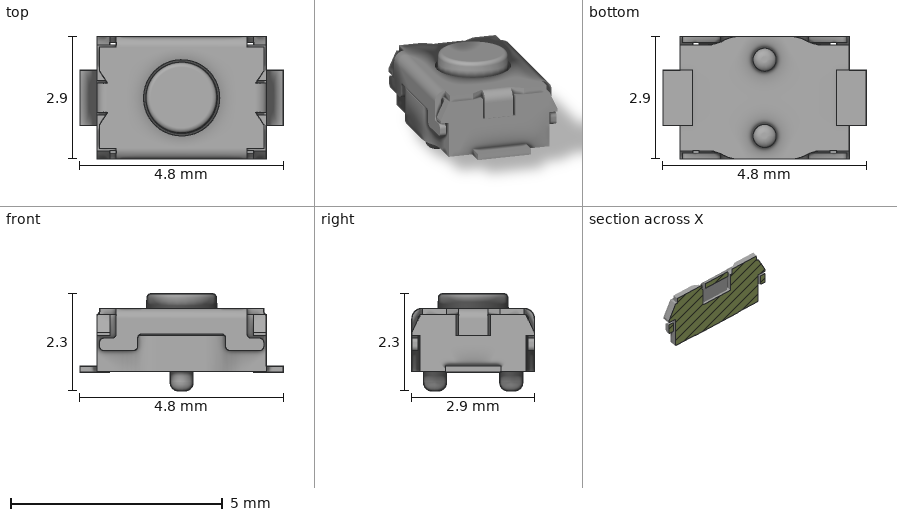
import cadquery as cq

overall_length = 4.8
overall_width = 2.9
side_y = overall_width / 2

body_length = 4.0
body_end_x = body_length / 2
core_width = 2.5
core_y = core_width / 2
body_top = 1.35
corner_block_length = 0.3
corner_block_bottom = 0.85
corner_slope_bottom = 0.92

bulge_half_foot = 1.375
bulge_half_crest = 0.595
bulge_top = 0.85
bulge_link_run = 0.03
bulge_link_rise = 0.015

pocket_width = 0.81
pocket_depth = 0.215
pocket_floor = 0.85

sheet = 0.15
cover_top = body_top + sheet
bend_radius = 0.25
cover_length = 3.88
cover_end_x = cover_length / 2
plate_y = side_y - bend_radius
cover_hole_diameter = 1.8

flange_half_length = 1.545
flange_bottom = 0.5
foot_top = 0.79
flange_cutout_half_length = 1.035
flange_cutout_top = 0.895
flange_corner_radius = 0.1

tab_width = 0.69
tab_bottom = 0.86
tab_bend_x = body_end_x - bend_radius
notch_half_width = 0.635

button_top = 1.845
button_base_radius = 0.845
button_top_radius = 0.815
button_fillet = 0.1

peg_diameter = 0.545
peg_spacing = 1.8
peg_length = 0.455
peg_fillet = 0.2

lead_width = 1.31
lead_length = 0.7
lead_bottom = -0.015


def box(x_range, y_range, z_range):
    """Axis-aligned box given by its limits along each axis."""
    limits = (x_range, y_range, z_range)
    sizes = [high - low for low, high in limits]
    corner = tuple(low for low, high in limits)
    return cq.Workplane("XY").box(*sizes, centered=False).translate(corner)


def both_ends(shape):
    """The shape together with its mirror image at the other X end."""
    return shape.union(shape.mirror("YZ"))


def both_sides(shape):
    """The shape together with its mirror image on the other Y side."""
    return shape.union(shape.mirror("XZ"))


def bent_sheet(plane, flat_end, outer_face, lower_edge):
    """Profile of sheet that leaves the cover plate and bends straight down."""
    inner_radius = bend_radius - sheet
    bend_bottom = cover_top - bend_radius
    return (
        cq.Workplane(plane)
        .moveTo(flat_end, cover_top)
        .lineTo(outer_face - bend_radius, cover_top)
        .radiusArc((outer_face, bend_bottom), bend_radius)
        .lineTo(outer_face, lower_edge)
        .lineTo(outer_face - sheet, lower_edge)
        .lineTo(outer_face - sheet, bend_bottom)
        .radiusArc((outer_face - bend_radius, body_top), -inner_radius)
        .lineTo(flat_end, body_top)
        .close()
    )


def make_bulge():
    """Bulge on the +Y side; each flank is two arcs joined by a short straight link."""
    run = (bulge_half_foot - bulge_half_crest - bulge_link_run) / 2
    rise = (side_y - core_y - bulge_link_rise) / 2
    flank_radius = (run**2 + rise**2) / (2 * rise)
    outer_x, outer_y = bulge_half_foot - run, core_y + rise
    inner_x, inner_y = bulge_half_crest + run, side_y - rise
    return (
        cq.Workplane("XY")
        .moveTo(-bulge_half_foot, 0)
        .lineTo(-bulge_half_foot, core_y)
        .radiusArc((-outer_x, outer_y), -flank_radius)
        .lineTo(-inner_x, inner_y)
        .radiusArc((-bulge_half_crest, side_y), flank_radius)
        .lineTo(bulge_half_crest, side_y)
        .radiusArc((inner_x, inner_y), flank_radius)
        .lineTo(outer_x, outer_y)
        .radiusArc((bulge_half_foot, core_y), -flank_radius)
        .lineTo(bulge_half_foot, 0)
        .close()
        .extrude(bulge_top)
    )


def make_corner_blocks():
    """Sloped blocks that widen the body at its four upper corners."""
    block = (
        cq.Workplane("YZ")
        .workplane(offset=body_end_x - corner_block_length)
        .polyline([
            (0, corner_block_bottom),
            (side_y, corner_block_bottom),
            (side_y, corner_slope_bottom),
            (core_y, body_top),
            (0, body_top),
        ])
        .close()
        .extrude(corner_block_length)
    )
    return both_ends(both_sides(block))


def make_body():
    core = box((-body_end_x, body_end_x), (-core_y, core_y), (0, body_top))
    pocket = box(
        (body_end_x - pocket_depth, body_end_x),
        (-pocket_width / 2, pocket_width / 2),
        (pocket_floor, body_top),
    )
    solid = core.union(both_sides(make_bulge())).union(make_corner_blocks())
    return solid.cut(both_ends(pocket))


def make_cover_plate():
    """Flat top of the cover, notched at both ends around the tabs."""
    plate = box((-cover_end_x, cover_end_x), (-plate_y, plate_y), (body_top, cover_top))
    notch = (
        cq.Workplane("XY", origin=(0, 0, body_top))
        .polyline([
            (cover_end_x, -notch_half_width),
            (tab_bend_x, -tab_width / 2),
            (tab_bend_x, tab_width / 2),
            (cover_end_x, notch_half_width),
        ])
        .close()
        .extrude(sheet)
    )
    return plate.cut(both_ends(notch))


def make_flange():
    """Flange on the +Y side, trimmed to a strip with two outward feet."""
    outline = (
        cq.Workplane("XZ")
        .polyline([
            (-flange_half_length, cover_top),
            (-flange_half_length, foot_top),
            (-cover_end_x, foot_top),
            (-cover_end_x, flange_bottom),
            (-flange_cutout_half_length, flange_bottom),
            (-flange_cutout_half_length, flange_cutout_top),
            (flange_cutout_half_length, flange_cutout_top),
            (flange_cutout_half_length, flange_bottom),
            (cover_end_x, flange_bottom),
            (cover_end_x, foot_top),
            (flange_half_length, foot_top),
            (flange_half_length, cover_top),
        ])
        .close()
        .extrude(-side_y)
    )
    lower_corners = cq.selectors.BoxSelector(
        (-body_end_x, 0, 0), (body_end_x, side_y, body_top)
    )
    trimmed = outline.edges("|Y").edges(lower_corners).fillet(flange_corner_radius)
    strip = bent_sheet("YZ", core_y / 2, side_y, flange_bottom)
    return strip.extrude(cover_end_x, both=True).intersect(trimmed)


def make_cover():
    tab = bent_sheet("XZ", tab_bend_x - sheet, body_end_x, tab_bottom)
    tab = tab.extrude(tab_width / 2, both=True)
    cover = make_cover_plate().union(both_sides(make_flange())).union(both_ends(tab))
    hole = cq.Workplane("XY", origin=(0, 0, body_top)).circle(cover_hole_diameter / 2)
    return cover.cut(hole.extrude(sheet))


def make_button():
    """Slightly conical button with a rounded top edge, standing on the body."""
    return (
        cq.Workplane("XY", origin=(0, 0, body_top))
        .circle(button_base_radius)
        .workplane(offset=button_top - body_top)
        .circle(button_top_radius)
        .loft()
        .faces(">Z")
        .edges()
        .fillet(button_fillet)
    )


def make_pegs():
    return (
        cq.Workplane("XY")
        .pushPoints([(0, -peg_spacing / 2), (0, peg_spacing / 2)])
        .circle(peg_diameter / 2)
        .extrude(-peg_length)
        .faces("<Z")
        .edges()
        .fillet(peg_fillet)
    )


def make_leads():
    lead = box(
        (overall_length / 2 - lead_length, overall_length / 2),
        (-lead_width / 2, lead_width / 2),
        (lead_bottom, lead_bottom + sheet),
    )
    return both_ends(lead)


result = (
    make_body()
    .union(make_cover())
    .union(make_button())
    .union(make_pegs())
    .union(make_leads())
)